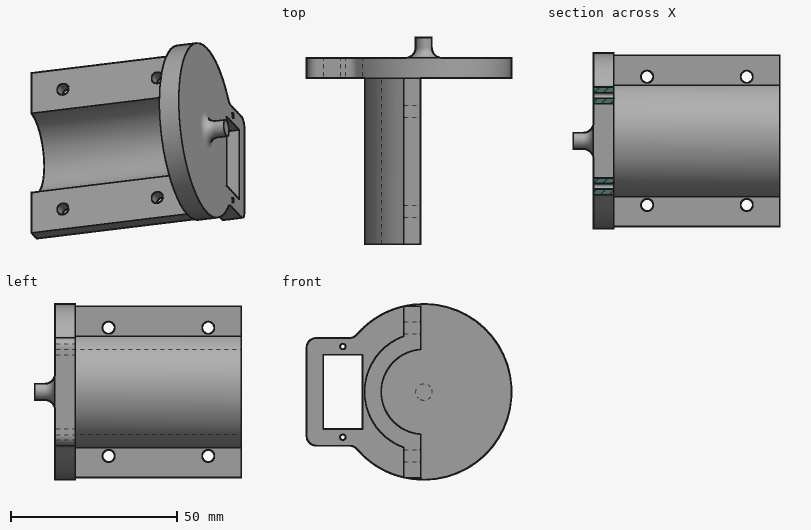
import math

import cadquery as cq

disc_radius = 26.5
disc_thickness = 6.15

window_width = 11.7
window_height = 22.3
lug_margin = 5.1
lug_reach = 35.29
lug_height = window_height + 2 * lug_margin
lug_round = 3.0
window_center_x = -lug_reach + lug_margin + window_width / 2
screw_diameter = 1.6
screw_offset = 2.5
screw_z = window_height / 2 + screw_offset

shell_length = 50.0
bore_radius = 12.8
shell_thickness = 5.0
shell_radius = bore_radius + shell_thickness
parting_x = -0.9
flange_thickness = 5.1
flange_outer_x = parting_x - flange_thickness
flange_half_height = math.sqrt(disc_radius**2 - flange_outer_x**2)

bolt_diameter = 3.6
bolt_inset = 10.0
bolt_z = (bore_radius + flange_half_height) / 2

pin_radius = 2.5
pin_length = 6.15
pin_fillet = 3.0


def prism(width, height, center_x, y_start, y_end):
    """Box centered on z = 0 that spans y_start to y_end."""
    return (
        cq.Workplane("XY")
        .box(width, y_end - y_start, height)
        .translate((center_x, (y_start + y_end) / 2, 0))
    )


def cylinder(radius, y_start, y_end, x=0, z=0):
    """Cylinder along Y that spans y_start to y_end."""
    axis = cq.Vector(0, 1, 0)
    base = cq.Vector(x, y_start, z)
    return cq.Workplane(cq.Solid.makeCylinder(radius, y_end - y_start, base, axis))


def make_end_plate():
    """Disc and lug as one outline, with tangent blends between them."""
    half_lug = lug_height / 2
    blend_z = half_lug + lug_round
    blend_x = -math.sqrt((disc_radius + lug_round) ** 2 - blend_z**2)
    disc_share = disc_radius / (disc_radius + lug_round)
    touch_x = blend_x * disc_share
    touch_z = blend_z * disc_share

    start_angle = -math.pi / 2
    end_angle = math.atan2(-blend_z, -blend_x)
    mid_angle = (start_angle + end_angle) / 2
    mid_x = blend_x + lug_round * math.cos(mid_angle)
    mid_z = blend_z + lug_round * math.sin(mid_angle)

    corner_x = -lug_reach + lug_round
    corner_z = half_lug - lug_round
    return (
        cq.Workplane("XZ")
        .moveTo(-lug_reach, -corner_z)
        .lineTo(-lug_reach, corner_z)
        .radiusArc((corner_x, half_lug), lug_round)
        .lineTo(blend_x, half_lug)
        .threePointArc((mid_x, mid_z), (touch_x, touch_z))
        .threePointArc((disc_radius, 0), (touch_x, -touch_z))
        .threePointArc((mid_x, -mid_z), (blend_x, -half_lug))
        .lineTo(corner_x, -half_lug)
        .radiusArc((-lug_reach, -corner_z), lug_round)
        .close()
        .extrude(-disc_thickness)
    )


def cut_servo_mount(plate):
    """Servo window and its two screw holes, all through the plate."""
    plate = plate.cut(prism(window_width, window_height, window_center_x, 0, disc_thickness))
    for z in (-screw_z, screw_z):
        plate = plate.cut(cylinder(screw_diameter / 2, 0, disc_thickness, window_center_x, z))
    return plate


def make_half_shell():
    """Half tube with flanges, cut flat at the parting plane."""
    flange_center_x = (parting_x + flange_outer_x) / 2
    flange = prism(flange_thickness, 2 * flange_half_height, flange_center_x, -shell_length, 0)
    kept_side = prism(shell_radius, 2 * shell_radius, parting_x - shell_radius / 2, -shell_length, 0)
    tube = cylinder(shell_radius, -shell_length, 0).intersect(kept_side)
    return tube.union(flange).cut(cylinder(bore_radius, -shell_length, 0))


def cut_bolt_holes(shell):
    """Four bolt holes along X, through the flanges."""
    for y in (-bolt_inset, bolt_inset - shell_length):
        for z in (-bolt_z, bolt_z):
            start = cq.Vector(flange_outer_x, y, z)
            axis = cq.Vector(1, 0, 0)
            hole = cq.Solid.makeCylinder(bolt_diameter / 2, flange_thickness, start, axis)
            shell = shell.cut(cq.Workplane(hole))
    return shell


def make_pin():
    """Pin turned about Y, flared by a concave fillet where it meets the disc."""
    diagonal = pin_fillet * (1 - math.sqrt(0.5))
    return (
        cq.Workplane("XY")
        .moveTo(0, disc_thickness)
        .lineTo(pin_radius + pin_fillet, disc_thickness)
        .threePointArc(
            (pin_radius + diagonal, disc_thickness + diagonal),
            (pin_radius, disc_thickness + pin_fillet),
        )
        .lineTo(pin_radius, disc_thickness + pin_length)
        .lineTo(0, disc_thickness + pin_length)
        .close()
        .revolve(360, (0, 0, 0), (0, 1, 0))
    )


end_plate = cut_servo_mount(make_end_plate())
half_shell = cut_bolt_holes(make_half_shell())
result = end_plate.union(half_shell).union(make_pin())